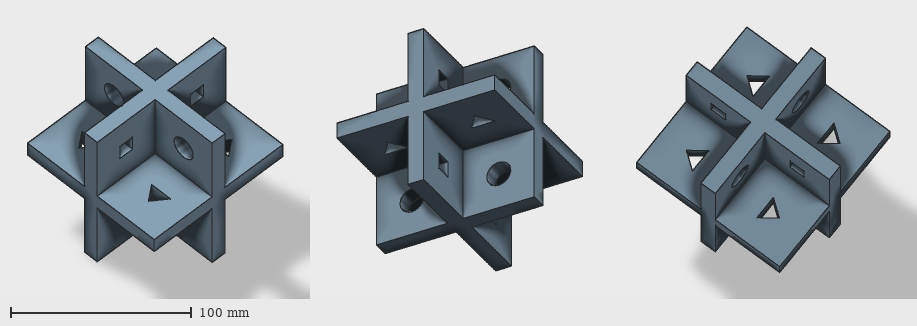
import cadquery as cq

side = 100.0
thickness = 10.0

hole_offset = (side + thickness) / 4
hole_diameter = 15.0
square_side = 10.0
triangle_base = 15.0
triangle_height = 10.0

quarter_centers = [(u * hole_offset, v * hole_offset) for u in (-1, 1) for v in (-1, 1)]


def plate(plane):
    """Square plate centred on the given plane."""
    return cq.Workplane(plane).rect(side, side).extrude(thickness / 2, both=True)


def round_hole_plate():
    """Plate normal to Y with a round hole in each quarter."""
    holes = cq.Workplane("XZ").pushPoints(quarter_centers).circle(hole_diameter / 2)
    return plate("XZ").cut(holes.extrude(thickness, both=True))


def square_hole_plate():
    """Plate normal to X with a square hole in each quarter."""
    holes = cq.Workplane("YZ").pushPoints(quarter_centers).rect(square_side, square_side)
    return plate("YZ").cut(holes.extrude(thickness, both=True))


def triangle_hole_plate():
    """Plate normal to Z with triangles whose tips point away from the X axis."""
    body = plate("XY")
    for x, y in quarter_centers:
        rise = triangle_height if y > 0 else -triangle_height
        corners = [
            (x - triangle_base / 2, y - rise / 2),
            (x + triangle_base / 2, y - rise / 2),
            (x, y + rise / 2),
        ]
        hole = cq.Workplane("XY").polyline(corners).close().extrude(thickness, both=True)
        body = body.cut(hole)
    return body


result = round_hole_plate().union(square_hole_plate()).union(triangle_hole_plate()).clean()